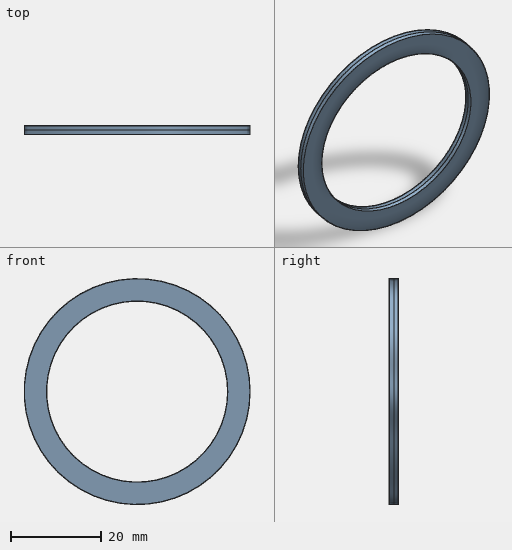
import cadquery as cq

OUTER_DIAMETER = 50.0
RING_WIDTH = 5.0
INNER_DIAMETER = OUTER_DIAMETER - 2 * RING_WIDTH
RING_THICKNESS = 1.0
RING_COUNT = 2
STACK_FRONT_Y = -RING_COUNT * RING_THICKNESS / 2


def make_ring(front_y):
    """Flat ring around the Y axis, with its front face at front_y."""
    return (
        cq.Workplane("XZ", origin=(0, front_y, 0))
        .circle(OUTER_DIAMETER / 2)
        .circle(INNER_DIAMETER / 2)
        .extrude(-RING_THICKNESS)
    )


rings = []
for index in range(RING_COUNT):
    ring = make_ring(STACK_FRONT_Y + index * RING_THICKNESS)
    rings.append(ring.val())

result = cq.Compound.makeCompound(rings)